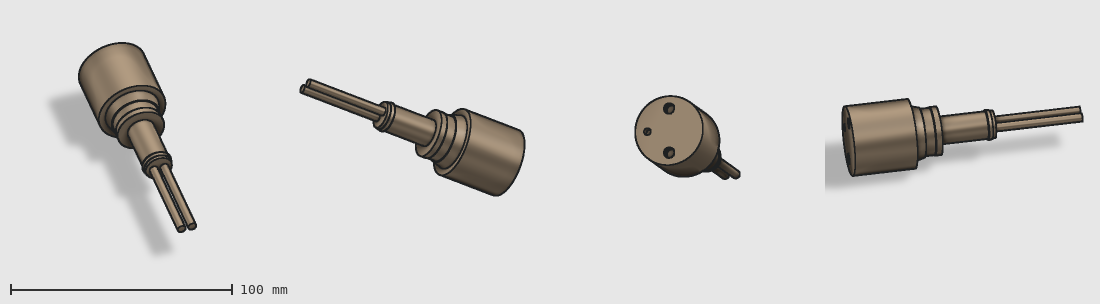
import cadquery as cq

total_length = 106.6
body_end = 28.7
shoulder_end = 33.5
collar_start = 38.0
collar_end = 41.2
ring_start = 63.0
ring_end = 65.2
sleeve_end = 66.7

body_diameter = 31.8
shoulder_large_diameter = 25.6
shoulder_small_diameter = 22.8
neck_diameter = 21.6
collar_diameter = 22.2
collar_bevel_diameter = 21.9
collar_bevel_length = 0.3
sleeve_diameter = 12.7
ring_diameter = 13.9
ring_small_diameter = 13.2
ring_bevel_length = 0.3
ring_land_length = 0.4
end_bevel_length = 0.4
end_bevel_depth = 0.1

wire_diameter = 3.8
wire_spacing = 5.0

hole_pitch_radius = 10.1
socket_diameter = 4.8
socket_depth = 2.1
socket_inner_diameter = 4.3
socket_inner_depth = 4.3
key_hole_diameter = 3.2
key_hole_depth = 4.3


def cylinder_along_x(diameter, start, end, y=0, z=0):
    """Make a cylinder parallel to X between two stations."""
    plane = cq.Workplane("YZ", origin=(start, y, z))
    return plane.circle(diameter / 2).extrude(end - start)


def tapered_along_x(start_diameter, end_diameter, start, end):
    """Make a truncated cone centred on the X axis."""
    profile = [
        (start, 0),
        (start, start_diameter / 2),
        (end, end_diameter / 2),
        (end, 0),
    ]
    return cq.Workplane("XY").polyline(profile).close().revolve(360, (0, 0, 0), (1, 0, 0))


def make_housing():
    """Make the body, conical shoulder, neck and bevelled collar."""
    bevel_end = collar_start + collar_bevel_length
    housing = cylinder_along_x(body_diameter, 0, body_end)
    shoulder = tapered_along_x(shoulder_large_diameter, shoulder_small_diameter, body_end, shoulder_end)
    housing = housing.union(shoulder)
    housing = housing.union(cylinder_along_x(neck_diameter, shoulder_end, collar_start))
    housing = housing.union(tapered_along_x(collar_bevel_diameter, collar_diameter, collar_start, bevel_end))
    return housing.union(cylinder_along_x(collar_diameter, bevel_end, collar_end))


def make_sleeve():
    """Make the sleeve with its retaining ring and bevelled end."""
    land_start = ring_start + ring_bevel_length
    land_end = land_start + ring_land_length
    bevel_start = sleeve_end - end_bevel_length
    sleeve_tip_diameter = sleeve_diameter - 2 * end_bevel_depth
    sleeve = cylinder_along_x(sleeve_diameter, collar_end, bevel_start)
    sleeve = sleeve.union(tapered_along_x(sleeve_diameter, sleeve_tip_diameter, bevel_start, sleeve_end))
    sleeve = sleeve.union(tapered_along_x(ring_small_diameter, ring_diameter, ring_start, land_start))
    sleeve = sleeve.union(cylinder_along_x(ring_diameter, land_start, land_end))
    return sleeve.union(tapered_along_x(ring_diameter, ring_small_diameter, land_end, ring_end))


def make_socket(z):
    """Make the cutter for a stepped contact socket."""
    socket = cylinder_along_x(socket_diameter, 0, socket_depth, z=z)
    return socket.union(cylinder_along_x(socket_inner_diameter, 0, socket_inner_depth, z=z))


result = make_housing().union(make_sleeve())

for side in (-1, 1):
    wire_y = side * wire_spacing / 2
    result = result.union(cylinder_along_x(wire_diameter, sleeve_end, total_length, y=wire_y))
    result = result.cut(make_socket(side * hole_pitch_radius))

result = result.cut(cylinder_along_x(key_hole_diameter, 0, key_hole_depth, y=hole_pitch_radius))